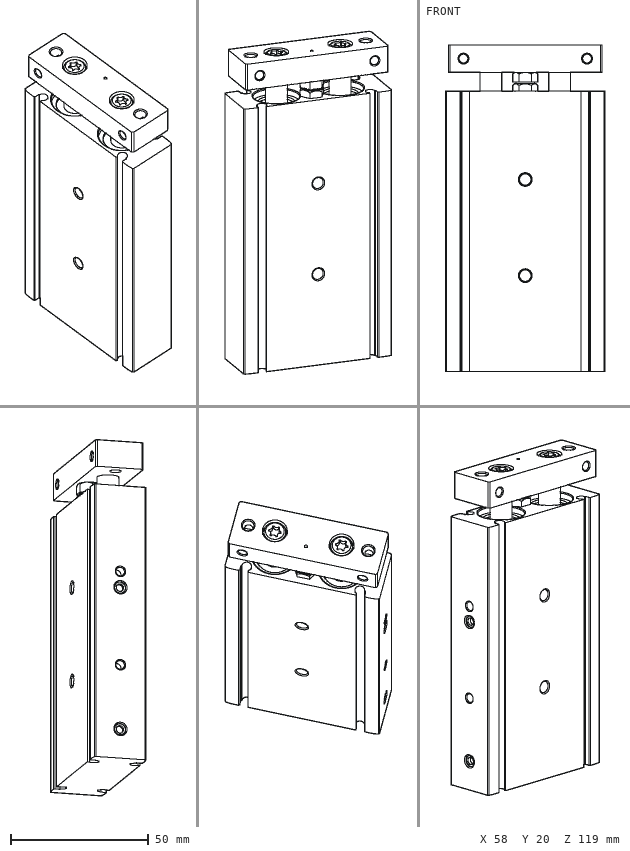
import cadquery as cq
import math


HOUSING_WIDTH = 58.0
HOUSING_DEPTH = 20.0
HOUSING_HEIGHT = 102.1
CROWN_WIDTH = 2.7
CROWN_DROP = 0.3
HOUSING_CORNER_CHAMFER = 0.4

GROOVE_DIAMETER = 3.6
GROOVE_X = 21.2
GROOVE_AXIS_DEPTH = 2.3
GROOVE_MOUTH_INNER_X = 20.2
GROOVE_MOUTH_OUTER_X = 23.3
GROOVE_LIP_CHAMFER = 0.4

LARGE_MOUTH_DIAMETER = 5.0
LARGE_HOLE_DIAMETER = 4.2
SMALL_MOUTH_DIAMETER = 3.9
SMALL_HOLE_DIAMETER = 3.2
MOUNT_HOLE_HEIGHTS = (35.0, 70.0)
SIDE_HOLE_DEPTH = 5.0

PORT_HEIGHTS = (11.0, 64.0)
PORT_DEPTH = 0.7
PORT_DRILL_DIAMETER = 2.7
PORT_DRILL_DEPTH = 1.2
DRILL_POINT_ANGLE = 118

ROD_DIAMETER = 8.0
ROD_X = 12.5
ROD_INSERTION = 23.8
ROD_RECESS = 0.2
ROD_END_CHAMFER = 0.6
SEAT_MOUTH_DIAMETER = 17.7
SEAT_DIAMETER = 17.0
SEAT_DEPTH = 2.4
INNER_SEAT_DIAMETER = 13.6
INNER_SEAT_DEPTH = 1.0

SOCKET_TIP_DIAMETER = 4.5
SOCKET_TIP_ANGLE = 12
SOCKET_VALLEY_DIAMETER = 3.2
SOCKET_DEPTH = 1.8
LOBES = 6

PLATE_WIDTH = 55.9
PLATE_DEPTH = 18.1
PLATE_THICKNESS = 10.0
PLATE_TOP = 119.0
PLATE_BOTTOM = PLATE_TOP - PLATE_THICKNESS
PLATE_CORNER_CHAMFER = 0.6
PLATE_HOLE_X = 22.5
COUNTERBORE_DIAMETER = 9.0
COUNTERBORE_DEPTH = 2.4
VENT_DIAMETER = 1.0

BOLT_Y = 3.6
HEX_SIDES = 6
HEX_ACROSS_FLATS = 8.0
HEX_CORNER_DIAMETER = HEX_ACROSS_FLATS / math.cos(math.pi / HEX_SIDES)
HEX_CHAMFER_DIAMETER = 7.9
HEX_CHAMFER_HEIGHT = 0.6
HEX_GAP = 0.6
NUT_HEIGHT = 3.6
COLLAR_DIAMETER = 6.9
SHANK_DIAMETER = 4.3
SHANK_DEPTH_IN_PLATE = 6.0
NUT_BOTTOM = PLATE_BOTTOM - NUT_HEIGHT
BOLT_HEAD_TOP = NUT_BOTTOM - HEX_GAP

UP = (0, 0, 1)
DOWN = (0, 0, -1)
RIGHT = (1, 0, 0)
BACK = (0, 1, 0)
FRONT = (0, -1, 0)


def cylinder(origin, direction, diameter, length):
    solid = cq.Solid.makeCylinder(diameter / 2, length, cq.Vector(*origin), cq.Vector(*direction))
    return cq.Workplane(obj=solid)


def cone(origin, direction, start_diameter, end_diameter, length):
    solid = cq.Solid.makeCone(
        start_diameter / 2, end_diameter / 2, length, cq.Vector(*origin), cq.Vector(*direction)
    )
    return cq.Workplane(obj=solid)


def countersink(origin, direction, mouth_diameter, hole_diameter):
    """Cutter for a 45 degree countersink that narrows along the direction."""
    depth = (mouth_diameter - hole_diameter) / 2
    return cone(origin, direction, mouth_diameter, hole_diameter, depth)


def countersunk_hole(origin, direction, mouth_diameter, hole_diameter, length):
    """Cutter for a hole with a countersink at the end where it starts."""
    hole = cylinder(origin, direction, hole_diameter, length)
    return hole.union(countersink(origin, direction, mouth_diameter, hole_diameter))


def through_hole_y(x, z, body_depth, mouth_diameter, hole_diameter):
    """Cutter for a hole along Y with a countersink at both ends."""
    front = (x, -body_depth / 2, z)
    back = (x, body_depth / 2, z)
    hole = countersunk_hole(front, BACK, mouth_diameter, hole_diameter, body_depth)
    return hole.union(countersink(back, FRONT, mouth_diameter, hole_diameter))


def crown_middle(flat_x):
    """Middle point of the crown, an arc tangent to the flat back face at flat_x."""
    radius = (CROWN_WIDTH**2 + CROWN_DROP**2) / (2 * CROWN_DROP)
    half_sweep = math.asin(CROWN_WIDTH / radius) / 2
    x = flat_x + radius * math.sin(half_sweep)
    y = HOUSING_DEPTH / 2 - radius * (1 - math.cos(half_sweep))
    return x, y


def housing_blank():
    """Extruded outline whose front and back faces are crowned beside chamfered corners."""
    side_x = HOUSING_WIDTH / 2
    face_y = HOUSING_DEPTH / 2
    crown_end_x = side_x - HOUSING_CORNER_CHAMFER
    crown_end_y = face_y - CROWN_DROP
    side_y = crown_end_y - HOUSING_CORNER_CHAMFER
    flat_x = crown_end_x - CROWN_WIDTH
    middle_x, middle_y = crown_middle(flat_x)
    quarter = (
        cq.Workplane("XY")
        .lineTo(side_x, 0)
        .lineTo(side_x, side_y)
        .lineTo(crown_end_x, crown_end_y)
        .threePointArc((middle_x, middle_y), (flat_x, face_y))
        .lineTo(0, face_y)
        .close()
        .extrude(HOUSING_HEIGHT)
    )
    half = quarter.union(quarter.mirror("YZ"))
    return half.union(half.mirror("XZ")).clean()


def sensor_groove():
    """Cutter for the round groove at +X, +Y and its mouth with one chamfered lip."""
    face_y = HOUSING_DEPTH / 2
    axis_y = face_y - GROOVE_AXIS_DEPTH
    mouth = (
        cq.Workplane("XY")
        .moveTo(GROOVE_MOUTH_INNER_X, axis_y)
        .lineTo(GROOVE_MOUTH_OUTER_X, axis_y)
        .lineTo(GROOVE_MOUTH_OUTER_X, face_y - GROOVE_LIP_CHAMFER)
        .lineTo(GROOVE_MOUTH_OUTER_X + GROOVE_LIP_CHAMFER, face_y)
        .lineTo(GROOVE_MOUTH_INNER_X, face_y)
        .close()
        .extrude(HOUSING_HEIGHT)
    )
    return mouth.union(cylinder((GROOVE_X, axis_y, 0), UP, GROOVE_DIAMETER, HOUSING_HEIGHT))


def air_port(z):
    """Cutter for a port in the left side: countersunk bore, then a smaller drilled hole."""
    port = countersunk_hole(
        (-HOUSING_WIDTH / 2, 0, z), RIGHT, LARGE_MOUTH_DIAMETER, LARGE_HOLE_DIAMETER, PORT_DEPTH
    )
    drill_start = -HOUSING_WIDTH / 2 + PORT_DEPTH
    point_start = drill_start + PORT_DRILL_DEPTH
    point_length = PORT_DRILL_DIAMETER / 2 / math.tan(math.radians(DRILL_POINT_ANGLE / 2))
    drill = cylinder((drill_start, 0, z), RIGHT, PORT_DRILL_DIAMETER, PORT_DRILL_DEPTH)
    point = cone((point_start, 0, z), RIGHT, PORT_DRILL_DIAMETER, 0, point_length)
    return port.union(drill).union(point)


def rod_seat(x):
    """Cutter for the stepped seat around a rod and the blind hole that holds the rod."""
    seat = countersunk_hole(
        (x, 0, HOUSING_HEIGHT), DOWN, SEAT_MOUTH_DIAMETER, SEAT_DIAMETER, SEAT_DEPTH
    )
    inner_depth = SEAT_DEPTH + INNER_SEAT_DEPTH
    inner_seat = cylinder((x, 0, HOUSING_HEIGHT), DOWN, INNER_SEAT_DIAMETER, inner_depth)
    rod_hole = cylinder((x, 0, HOUSING_HEIGHT), DOWN, ROD_DIAMETER, ROD_INSERTION)
    return seat.union(inner_seat).union(rod_hole)


def make_housing():
    housing = housing_blank()
    back_right = sensor_groove()
    back_left = back_right.mirror("YZ")
    for groove in (back_right, back_left, back_right.mirror("XZ"), back_left.mirror("XZ")):
        housing = housing.cut(groove)
    for side in (-1, 1):
        housing = housing.cut(rod_seat(side * ROD_X))
    for z in MOUNT_HOLE_HEIGHTS:
        housing = housing.cut(
            through_hole_y(0, z, HOUSING_DEPTH, LARGE_MOUTH_DIAMETER, LARGE_HOLE_DIAMETER)
        )
        housing = housing.cut(countersunk_hole(
            (-HOUSING_WIDTH / 2, 0, z), RIGHT, SMALL_MOUTH_DIAMETER, SMALL_HOLE_DIAMETER, SIDE_HOLE_DEPTH
        ))
    for z in PORT_HEIGHTS:
        housing = housing.cut(air_port(z))
    return housing


def make_plate():
    plate = (
        cq.Workplane("XY", origin=(0, 0, PLATE_BOTTOM))
        .rect(PLATE_WIDTH, PLATE_DEPTH)
        .extrude(PLATE_THICKNESS)
        .edges("|Z")
        .chamfer(PLATE_CORNER_CHAMFER)
    )
    middle_z = (PLATE_TOP + PLATE_BOTTOM) / 2
    for side in (-1, 1):
        hole_x = side * PLATE_HOLE_X
        plate = plate.cut(countersunk_hole(
            (hole_x, 0, PLATE_TOP), DOWN, LARGE_MOUTH_DIAMETER, LARGE_HOLE_DIAMETER, PLATE_THICKNESS
        ))
        plate = plate.cut(
            through_hole_y(hole_x, middle_z, PLATE_DEPTH, SMALL_MOUTH_DIAMETER, SMALL_HOLE_DIAMETER)
        )
        rod_top = (side * ROD_X, 0, PLATE_TOP)
        plate = plate.cut(cylinder(rod_top, DOWN, ROD_DIAMETER, PLATE_THICKNESS))
        plate = plate.cut(cylinder(rod_top, DOWN, COUNTERBORE_DIAMETER, COUNTERBORE_DEPTH))
    shank_hole = cylinder((0, BOLT_Y, PLATE_BOTTOM), UP, SHANK_DIAMETER, SHANK_DEPTH_IN_PLATE)
    vent = cylinder((0, BOLT_Y, PLATE_BOTTOM), UP, VENT_DIAMETER, PLATE_THICKNESS)
    return plate.cut(shank_hole).cut(vent)


def polar(diameter, degrees):
    angle = math.radians(degrees)
    return diameter / 2 * math.cos(angle), diameter / 2 * math.sin(angle)


def drive_socket(x, top):
    """Cutter for a lobed socket: short round tips joined by round valleys."""
    pitch = 360 / LOBES
    half_tip = SOCKET_TIP_ANGLE / 2
    outline = cq.Workplane("XY", origin=(x, 0, top)).moveTo(*polar(SOCKET_TIP_DIAMETER, -half_tip))
    for lobe in range(LOBES):
        tip = lobe * pitch
        outline = (
            outline
            .threePointArc(polar(SOCKET_TIP_DIAMETER, tip), polar(SOCKET_TIP_DIAMETER, tip + half_tip))
            .threePointArc(
                polar(SOCKET_VALLEY_DIAMETER, tip + pitch / 2),
                polar(SOCKET_TIP_DIAMETER, tip + pitch - half_tip),
            )
        )
    return outline.close().extrude(-SOCKET_DEPTH)


def make_rod(x):
    """Rod from inside the housing through the plate, with a drive socket in its chamfered end."""
    bottom = HOUSING_HEIGHT - ROD_INSERTION
    top = PLATE_TOP - ROD_RECESS
    rod = cylinder((x, 0, bottom), UP, ROD_DIAMETER, top - bottom)
    rod = rod.faces(">Z").chamfer(ROD_END_CHAMFER)
    return rod.cut(drive_socket(x, top))


def hexagon(bottom, height):
    """Hexagonal prism on the bolt axis with its upper corners chamfered."""
    prism = (
        cq.Workplane("XY", origin=(0, BOLT_Y, bottom))
        .polygon(HEX_SIDES, HEX_CORNER_DIAMETER)
        .extrude(height)
    )
    chamfer_start = bottom + height - HEX_CHAMFER_HEIGHT
    envelope = cylinder((0, BOLT_Y, bottom), UP, HEX_CORNER_DIAMETER, height - HEX_CHAMFER_HEIGHT)
    envelope = envelope.union(cone(
        (0, BOLT_Y, chamfer_start), UP, HEX_CORNER_DIAMETER, HEX_CHAMFER_DIAMETER, HEX_CHAMFER_HEIGHT
    ))
    return prism.intersect(envelope)


def make_bolt():
    """Stop bolt: head on the housing, a collar, and a shank through the nut into the plate."""
    head = hexagon(HOUSING_HEIGHT, BOLT_HEAD_TOP - HOUSING_HEIGHT)
    collar = cylinder((0, BOLT_Y, BOLT_HEAD_TOP), UP, COLLAR_DIAMETER, HEX_GAP)
    shank_length = PLATE_BOTTOM + SHANK_DEPTH_IN_PLATE - BOLT_HEAD_TOP
    shank = cylinder((0, BOLT_Y, BOLT_HEAD_TOP), UP, SHANK_DIAMETER, shank_length)
    return head.union(collar).union(shank)


def make_nut():
    """Lock nut between the bolt collar and the plate."""
    shank_hole = cylinder((0, BOLT_Y, NUT_BOTTOM), UP, SHANK_DIAMETER, NUT_HEIGHT)
    return hexagon(NUT_BOTTOM, NUT_HEIGHT).cut(shank_hole)


housing = make_housing()
plate = make_plate()
rods = [make_rod(side * ROD_X) for side in (-1, 1)]
bolt = make_bolt()
nut = make_nut()

result = cq.Compound.makeCompound([
    housing.val(),
    plate.val(),
    *[rod.val() for rod in rods],
    bolt.val(),
    nut.val(),
])